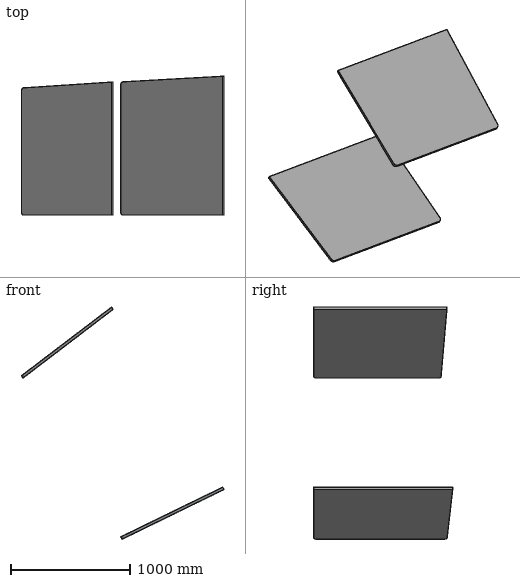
import cadquery as cq
import math

total_length = 1697.0
total_width = 1165.0
total_height = 1945.0

panel_length = 950.0
panel_thickness = 23.0
corner_radius = 25.0

upper_tilt = 37.3
lower_tilt = 26.0
end_lean = math.radians((upper_tilt + lower_tilt) / 2)

upper_low_width = 1065.0
upper_high_width = 1115.0
lower_low_width = 1115.0
lower_high_width = total_width


def make_panel(low_width, high_width, tilt_degrees):
    """Tapered panel rising toward +X, with its two low corners rounded.

    The front edge lies on Y = 0 and the bottom of the low end on the origin.
    """
    tilt = math.radians(tilt_degrees)
    run = panel_length * math.cos(tilt)
    rise = panel_length * math.sin(tilt)
    end_length = panel_thickness / math.cos(end_lean - tilt)
    end_back = end_length * math.sin(end_lean)
    end_height = end_length * math.cos(end_lean)

    slab = (
        cq.Workplane("XZ")
        .moveTo(0, 0)
        .lineTo(run, rise)
        .lineTo(run - end_back, rise + end_height)
        .lineTo(-end_back, end_height)
        .close()
        .extrude(-high_width)
    )

    tapered_plan = (
        cq.Workplane("XY")
        .moveTo(-end_back, 0)
        .lineTo(run, 0)
        .lineTo(run, high_width)
        .lineTo(-end_back, low_width)
        .close()
        .extrude(rise + end_height)
    )
    tapered_slab = slab.intersect(tapered_plan)
    return tapered_slab.faces("<X").edges("<Y or >Y").fillet(corner_radius)


def place_upper(panel):
    """Move a panel so that it touches the left and top of the envelope."""
    box = panel.val().BoundingBox()
    return panel.translate((-box.xmin, 0, total_height - box.zmax))


def place_lower(panel):
    """Move a panel so that it touches the right and bottom of the envelope."""
    box = panel.val().BoundingBox()
    return panel.translate((total_length - box.xmax, 0, -box.zmin))


upper_panel = place_upper(make_panel(upper_low_width, upper_high_width, upper_tilt))
lower_panel = place_lower(make_panel(lower_low_width, lower_high_width, lower_tilt))

result = cq.Compound.makeCompound([upper_panel.val(), lower_panel.val()])